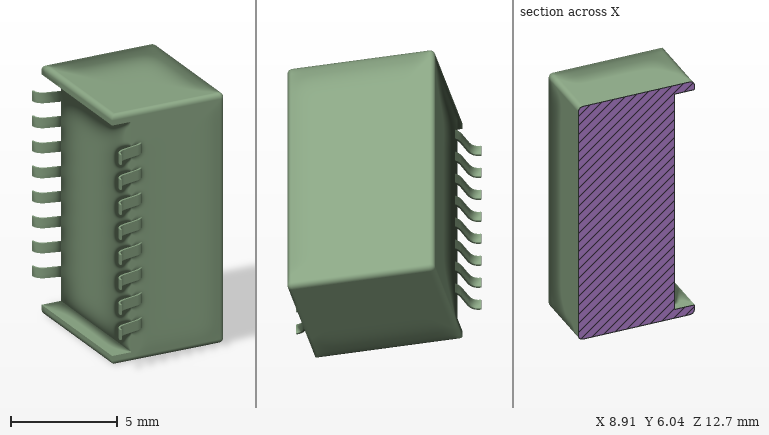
import math

import cadquery as cq

BODY_WIDTH = 7.11
BODY_HEIGHT = 12.7
OVERALL_DEPTH = 6.04
STANDOFF = 0.05
FLANGE_THICKNESS = 0.5
FLANGE_REACH = 1.03
EDGE_RADIUS = 0.25

OVERALL_WIDTH = 8.91
LEADS_PER_SIDE = 8
LEAD_PITCH = 1.27
LEAD_WIDTH = 0.51
LEAD_THICKNESS = 0.1
LEAD_RISE = 1.63
LEAD_LEAN = math.radians(12)
LEAD_EMBEDMENT = 0.34


def make_housing():
    """Block with rounded ends and back, recessed between two end flanges."""
    body_depth = OVERALL_DEPTH - STANDOFF
    body = (
        cq.Workplane("XY")
        .box(BODY_WIDTH, body_depth, BODY_HEIGHT)
        .translate((0, STANDOFF + body_depth / 2, 0))
    )
    body = body.edges("|X or |Y or (|Z and >Y)").fillet(EDGE_RADIUS)
    recess = (
        cq.Workplane("XY")
        .box(BODY_WIDTH, FLANGE_REACH, BODY_HEIGHT - 2 * FLANGE_THICKNESS)
        .translate((0, STANDOFF + FLANGE_REACH / 2, 0))
    )
    return body.cut(recess)


def make_lead():
    """Right-hand (+X) S-curved lead, centred on Z = 0, with its shoulder inside the housing."""
    foot_end = OVERALL_WIDTH / 2
    shoulder_end = BODY_WIDTH / 2 - LEAD_EMBEDMENT
    foot_y = LEAD_THICKNESS / 2
    leg_x = (foot_end + shoulder_end) / 2
    leg_y = foot_y + LEAD_RISE / 2
    outward = (1, 0)
    inward = (-1, 0)
    down_leg = (math.sin(LEAD_LEAN), -math.cos(LEAD_LEAN))
    up_leg = (-math.sin(LEAD_LEAN), math.cos(LEAD_LEAN))

    def surface_points(offset):
        """Shoulder, middle of leg and foot, moved by offset across the strip."""
        return [
            (shoulder_end, foot_y + LEAD_RISE + offset),
            (leg_x + offset * math.cos(LEAD_LEAN), leg_y + offset * math.sin(LEAD_LEAN)),
            (foot_end, foot_y + offset),
        ]

    upper_shoulder, upper_leg, upper_foot = surface_points(LEAD_THICKNESS / 2)
    lower_shoulder, lower_leg, lower_foot = surface_points(-LEAD_THICKNESS / 2)
    profile = (
        cq.Workplane("XY")
        .moveTo(*upper_shoulder)
        .spline([upper_leg, upper_foot], tangents=[outward, down_leg, outward], includeCurrent=True)
        .lineTo(*lower_foot)
        .spline([lower_leg, lower_shoulder], tangents=[inward, up_leg, inward], includeCurrent=True)
        .close()
    )
    return profile.extrude(LEAD_WIDTH).translate((0, 0, -LEAD_WIDTH / 2))


right_lead = make_lead()
left_lead = right_lead.mirror("YZ")

result = make_housing()
for index in range(LEADS_PER_SIDE):
    lead_z = (index - (LEADS_PER_SIDE - 1) / 2) * LEAD_PITCH
    for lead in (right_lead, left_lead):
        result = result.union(lead.translate((0, 0, lead_z)))